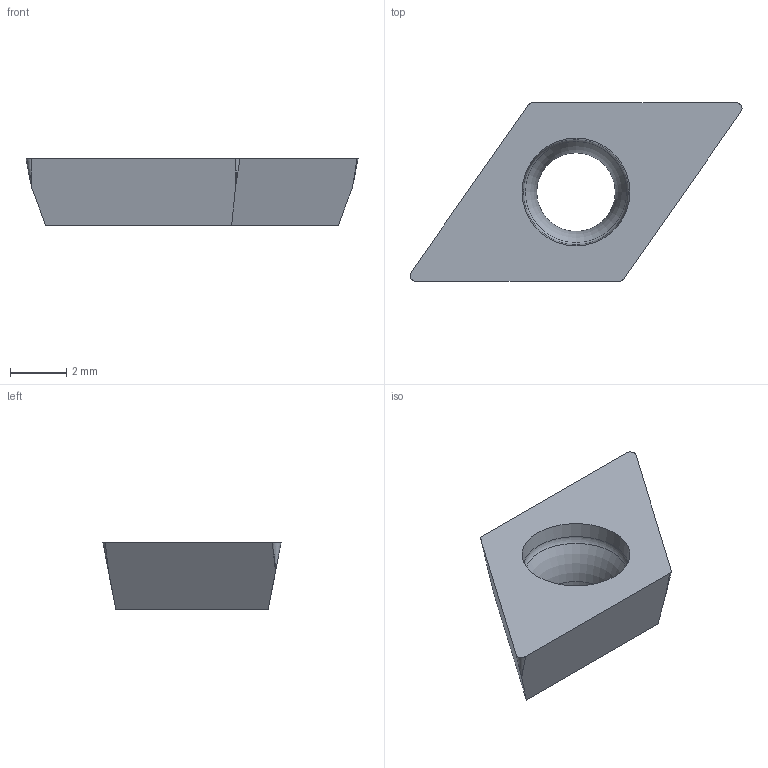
import cadquery as cq
import math

inscribed_diameter = 6.35
thickness = 2.38
acute_angle = math.radians(55)
relief_angle = math.radians(11)
nose_radius = 0.2

bore_radius = 1.4
bore_height = 0.22
seat_arc_radius = 2.55
seat_top_height = 1.60
seat_rim_radius = 1.88
seat_rim_height = 1.84
mouth_radius = 1.92

nose_cone_height = nose_radius / math.tan(relief_angle)
nose_apex_z = thickness - nose_cone_height


def rhombus_corners(inset):
    """Sharp corners of the insert outline with every side moved inward by inset."""
    half_width = inscribed_diameter / 2 - inset
    half_side = half_width / math.sin(acute_angle)
    lean = half_width / math.tan(acute_angle)
    return [
        (-half_side - lean, -half_width),
        (half_side - lean, -half_width),
        (half_side + lean, half_width),
        (-half_side + lean, half_width),
    ]


def make_body():
    return (
        cq.Workplane("XY", origin=(0, 0, thickness))
        .polyline(rhombus_corners(0)).close()
        .extrude(-thickness, taper=math.degrees(relief_angle))
    )


def triangle_face(*points):
    return cq.Face.makeFromWires(cq.Wire.makePolygon(points, close=True))


def make_nose_cutter(corner, nose_center, half_angle):
    """Material between a sharp corner and the cone that rounds it, apex at the bottom."""
    apex = cq.Vector(*nose_center, nose_apex_z)
    tip = cq.Vector(*corner, thickness)
    center = cq.Vector(*nose_center, thickness)
    outward = (tip - center).normalized()
    side = cq.Vector(-outward.y, outward.x, 0)

    along = outward * (nose_radius * math.sin(half_angle))
    across = side * (nose_radius * math.cos(half_angle))
    left = center + along + across
    right = center + along - across

    cone = cq.Solid.makeCone(0, nose_radius, nose_cone_height, pnt=apex, dir=cq.Vector(0, 0, 1))
    pyramid_faces = [
        triangle_face(apex, tip, left),
        triangle_face(apex, right, tip),
        triangle_face(apex, left, right),
        triangle_face(left, tip, right),
    ]
    pyramid = cq.Solid.makeSolid(cq.Shell.makeShell(pyramid_faces))
    return pyramid.cut(cone)


def make_screw_hole():
    seat_top_drop = seat_top_height - bore_height
    seat_angle = math.asin(seat_top_drop / seat_arc_radius)
    seat_top_radius = bore_radius + seat_arc_radius * (1 - math.cos(seat_angle))
    return (
        cq.Workplane("XZ")
        .lineTo(bore_radius, 0)
        .lineTo(bore_radius, bore_height)
        .tangentArcPoint((seat_top_radius, seat_top_height), relative=False)
        .tangentArcPoint((seat_rim_radius, seat_rim_height), relative=False)
        .lineTo(mouth_radius, thickness)
        .lineTo(0, thickness)
        .close()
        .revolve(360, (0, 0, 0), (0, 1, 0))
    )


result = make_body()
half_angles = [acute_angle / 2, (math.pi - acute_angle) / 2] * 2
noses = zip(rhombus_corners(0), rhombus_corners(nose_radius), half_angles)
for corner, nose_center, half_angle in noses:
    result = result.cut(cq.Workplane(make_nose_cutter(corner, nose_center, half_angle)))
result = result.cut(make_screw_hole())